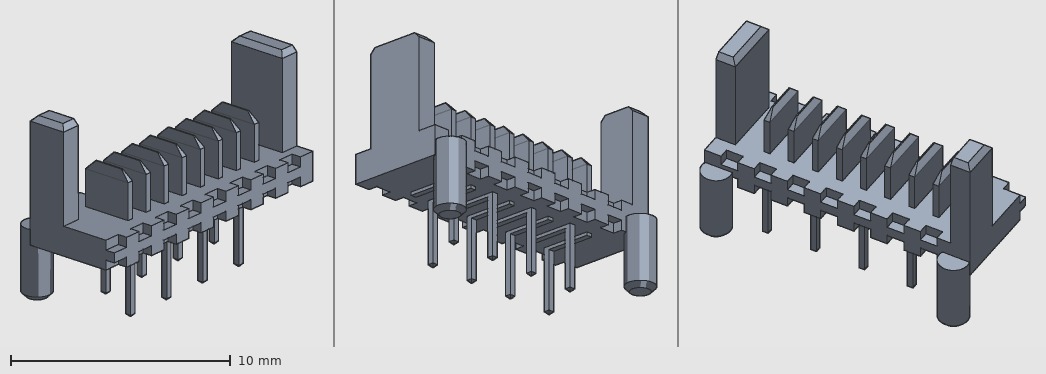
import cadquery as cq

BOARD_WIDTH = 5.01
BOARD_LENGTH = 13.99
BOARD_HEIGHT = 1.48

SEGMENT_COUNT = 16
SEGMENT_LENGTH = BOARD_LENGTH / SEGMENT_COUNT
NOTCH_DEPTH = 0.5
NOTCH_HEIGHT = BOARD_HEIGHT / 3

CONTACT_COUNT = 8
CONTACT_PITCH = 1.27
CONTACT_THICKNESS = 0.31
BLADE_WIDTH = 2 * CONTACT_PITCH
BLADE_CENTER_X = 2 * CONTACT_PITCH
BLADE_BOTTOM_Z = -0.17
BLADE_TOP_Z = 3.85
BLADE_TIP_HEIGHT = 0.5
BLADE_RIDGE_THICKNESS = 0.06
TAIL_END_Z = -3.3
TAIL_TIP_CHAMFER = 0.14

WALL_TOP_Z = 6.4
WALL_THICKNESS = 1.03
WALL_BEVEL = 0.27
FRONT_WALL_WIDTH = 2.0
BACK_WALL_WIDTH = 3.04

PEG_DIAMETER = 1.5
PEG_OVERHANG = 0.97
PEG_TOP_Z = 0.76
PEG_BOTTOM_Z = -2.8
PEG_CHAMFER = 0.25


def box_between(x_min, x_max, y_min, y_max, z_min, z_max):
    size = (x_max - x_min, y_max - y_min, z_max - z_min)
    return cq.Workplane("XY").box(*size, centered=False).translate((x_min, y_min, z_min))


def make_board():
    """Flat board with notches in the top and bottom edges of both long sides."""
    half_length = BOARD_LENGTH / 2
    board = box_between(0, BOARD_WIDTH, -half_length, half_length, 0, BOARD_HEIGHT)
    for segment in range(0, SEGMENT_COUNT, 2):
        y_min = -half_length + segment * SEGMENT_LENGTH
        y_max = y_min + SEGMENT_LENGTH
        for z_min in (0, BOARD_HEIGHT - NOTCH_HEIGHT):
            z_max = z_min + NOTCH_HEIGHT
            right_notch = box_between(BOARD_WIDTH - NOTCH_DEPTH, BOARD_WIDTH, y_min, y_max, z_min, z_max)
            board = board.cut(right_notch)
            if segment > 0:
                left_notch = box_between(0, NOTCH_DEPTH, y_min, y_max, z_min, z_max)
                board = board.cut(left_notch)
    return board


def make_wall(x_min, width, y_min):
    """Upright end wall whose top is bevelled on the left, right and -Y sides."""
    wall = box_between(x_min, x_min + width, y_min, y_min + WALL_THICKNESS, 0, WALL_TOP_Z)
    return wall.faces(">Z").edges("<X or >X or <Y").chamfer(WALL_BEVEL)


def make_contact(y, tail_x):
    """Blade with a tapered tip above the board and one pointed square tail below it."""
    shoulder_z = BLADE_TOP_Z - BLADE_TIP_HEIGHT
    blade = (
        cq.Workplane("XY", origin=(BLADE_CENTER_X, y, BLADE_BOTTOM_Z))
        .rect(BLADE_WIDTH, CONTACT_THICKNESS)
        .extrude(shoulder_z - BLADE_BOTTOM_Z)
    )
    tip = (
        cq.Workplane("XY", origin=(BLADE_CENTER_X, y, shoulder_z))
        .rect(BLADE_WIDTH, CONTACT_THICKNESS)
        .workplane(offset=BLADE_TIP_HEIGHT)
        .rect(BLADE_WIDTH - 2 * BLADE_TIP_HEIGHT, BLADE_RIDGE_THICKNESS)
        .loft(ruled=True)
    )
    tail = (
        cq.Workplane("XY", origin=(tail_x, y, TAIL_END_Z))
        .rect(CONTACT_THICKNESS, CONTACT_THICKNESS)
        .extrude(-TAIL_END_Z)
        .faces("<Z")
        .chamfer(TAIL_TIP_CHAMFER)
    )
    return blade.union(tip).union(tail)


def make_peg(y):
    """Round locating peg overhanging the left edge, chamfered at its lower end."""
    radius = PEG_DIAMETER / 2
    return (
        cq.Workplane("XY", origin=(radius - PEG_OVERHANG, y, PEG_BOTTOM_Z))
        .circle(radius)
        .extrude(PEG_TOP_Z - PEG_BOTTOM_Z)
        .faces("<Z")
        .chamfer(PEG_CHAMFER)
    )


result = make_board()

result = result.union(make_wall(0, FRONT_WALL_WIDTH, -BOARD_LENGTH / 2))
back_wall_x = BLADE_CENTER_X - BACK_WALL_WIDTH / 2
result = result.union(make_wall(back_wall_x, BACK_WALL_WIDTH, BOARD_LENGTH / 2 - WALL_THICKNESS))

first_contact_y = -(CONTACT_COUNT - 1) * CONTACT_PITCH / 2
for index in range(CONTACT_COUNT):
    side = 1 if index % 2 == 0 else -1
    tail_x = BLADE_CENTER_X + side * BLADE_WIDTH / 2
    result = result.union(make_contact(first_contact_y + index * CONTACT_PITCH, tail_x))

peg_y = (BOARD_LENGTH - PEG_DIAMETER) / 2
for y in (-peg_y, peg_y):
    result = result.union(make_peg(y))